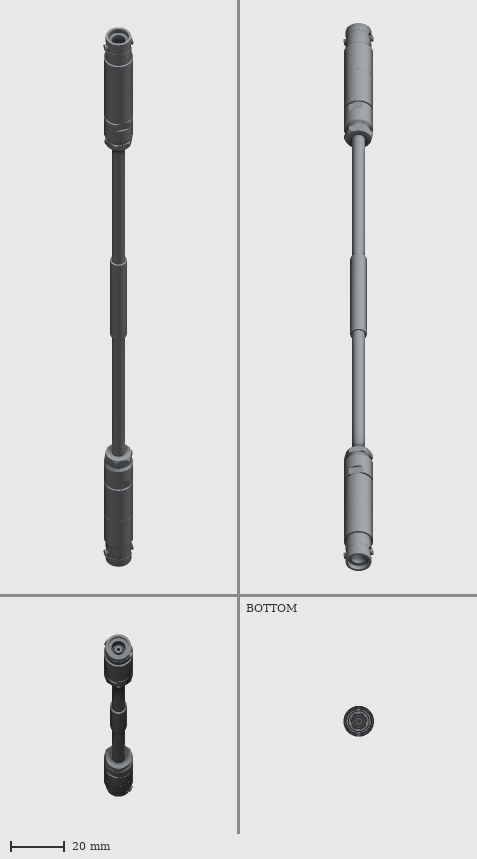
import cadquery as cq
import math

total_length = 273.7
half_length = total_length / 2

shell_diameter = 11.0
socket_diameter = 9.6
shell_start = 10.8
grip_start = 24.2
grip_end = 40.5
gland_start = 41.4
gland_end = 51.2
nut_start = 52.7
connector_length = 55.5

grip_diameter = 10.9
grip_neck_diameter = 9.6
nut_neck_diameter = 9.2
gland_chamfer = 0.8

flat_end = 44.6
flat_spacing = 9.6

nut_corner_span = shell_diameter
nut_end_diameter = 9.5
nut_chamfer_angle = 30

socket_bore = 7.8
socket_depth = 2.0
inner_bore = 5.3
inner_depth = 9.0
contact_diameter = 2.8
contact_start = 5.0
contact_bore = 1.2
contact_bore_depth = 5.0

stud_diameter = 2.4
stud_offset = 4.3
stud_span = 11.0
seat_diameter = 4.4
seat_span = 8.5
ring_groove_width = 1.7
ring_groove_diameter = 9.4

cable_diameter = 4.9
sleeve_diameter = 6.2
sleeve_length = 38.9


def cylinder(diameter, start, end):
    """Round section about Z between two heights."""
    return cq.Workplane("XY").workplane(offset=start).circle(diameter / 2).extrude(end - start)


def cross_pin(diameter, span):
    """Round pin along Y, centred on the axis at the height of the studs."""
    return cq.Workplane("XZ").center(0, stud_offset).circle(diameter / 2).extrude(span / 2, both=True)


def make_socket_end():
    """Bayonet end: tube with a ring groove, two seated studs and the socket bores."""
    tube = cylinder(socket_diameter, 0, shell_start)
    groove_start = stud_offset - ring_groove_width / 2
    groove_end = stud_offset + ring_groove_width / 2
    groove = cylinder(shell_diameter, groove_start, groove_end)
    groove = groove.cut(cylinder(ring_groove_diameter, groove_start, groove_end))
    between_seats = cq.Workplane("XY").box(shell_diameter, seat_span, 2 * shell_start)
    seats = cross_pin(seat_diameter, shell_diameter).cut(between_seats)
    tube = tube.cut(groove).cut(seats)
    tube = tube.union(cross_pin(stud_diameter, stud_span))
    tube = tube.cut(cylinder(socket_bore, 0, socket_depth))
    tube = tube.cut(cylinder(inner_bore, 0, inner_depth))
    tube = tube.union(cylinder(contact_diameter, contact_start, inner_depth))
    return tube.cut(cylinder(contact_bore, contact_start, contact_start + contact_bore_depth))


def make_gland():
    """Round gland with chamfered cable end and two wrench flats."""
    gland = cylinder(shell_diameter, gland_start, gland_end).faces(">Z").chamfer(gland_chamfer)
    flat_length = flat_end - gland_start
    outside = cylinder(2 * shell_diameter, gland_start, flat_end)
    kept = cq.Workplane("XY").box(flat_spacing, 2 * shell_diameter, flat_length)
    return gland.cut(outside.cut(kept.translate((0, 0, gland_start + flat_length / 2))))


def make_nut():
    """Hexagonal nut whose corners are turned off conically at the cable end."""
    nut = (cq.Workplane("XY").workplane(offset=nut_start).transformed(rotate=(0, 0, 90))
           .polygon(6, nut_corner_span).extrude(connector_length - nut_start))
    chamfer_width = (nut_corner_span - nut_end_diameter) / 2
    chamfer_height = chamfer_width / math.tan(math.radians(nut_chamfer_angle))
    envelope = (cylinder(nut_corner_span, nut_start, connector_length)
                .faces(">Z").chamfer(chamfer_height, chamfer_width))
    return nut.intersect(envelope)


def make_connector():
    """Connector with its mating end at Z = 0 and its cable end upward."""
    connector = make_socket_end()
    connector = connector.union(cylinder(shell_diameter, shell_start, grip_start))
    connector = connector.union(cylinder(grip_diameter, grip_start, grip_end))
    connector = connector.union(cylinder(grip_neck_diameter, grip_end, gland_start))
    connector = connector.union(make_gland())
    connector = connector.union(cylinder(nut_neck_diameter, gland_end, nut_start))
    return connector.union(make_nut())


def make_cable():
    """Cable between the two nuts, with its marker sleeve."""
    reach = half_length - connector_length
    cord = cylinder(cable_diameter, -reach, reach)
    return cord.union(cylinder(sleeve_diameter, -sleeve_length / 2, sleeve_length / 2))


lower_connector = make_connector().translate((0, 0, -half_length))
connectors = [lower_connector, lower_connector.mirror("XY")]
cable = make_cable()

result = cq.Compound.makeCompound([*[connector.val() for connector in connectors], cable.val()])